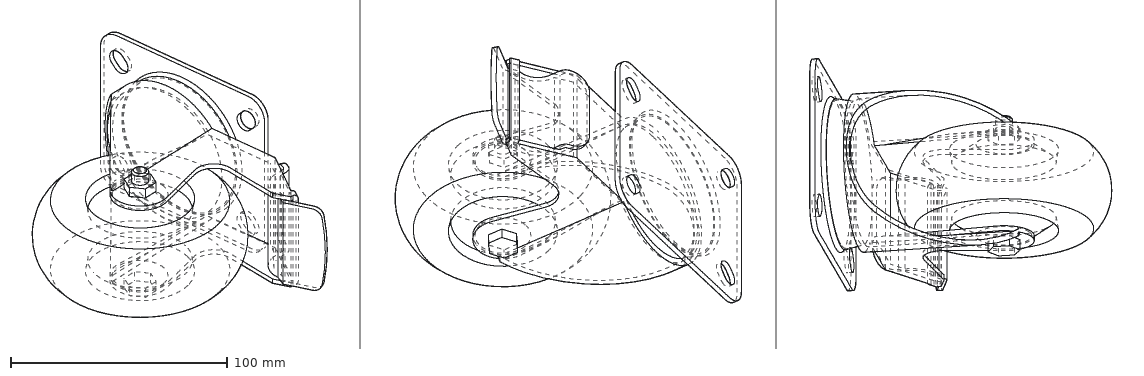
import cadquery as cq
import math


total_length = 161.0
total_height = 125.0

plate_length = 100.0
plate_width = 85.0
plate_thickness = 2.5
plate_corner_radius = 10.0
slot_diameter = 9.0
slot_center_distance = 2.9
slot_x = 38.8
slot_z = 28.5
slot_angle = 45.0

neck_flare_radius = 36.2
neck_waist_radius = 34.3
neck_rim_radius = 35.1
neck_foot_radius = 33.3
neck_rim_y = -4.8
flare_bulge = 0.3

wheel_radius = plate_length / 2
tread_edge_radius = 41.5
tread_half_width = 18.8
rim_radius = 31.9
rim_half_width = 20.0
recess_radius = 50.5 / 2
recess_floor_radius = 48.5 / 2
recess_depth = 6.3
hub_radius = 12.9
axle_x = 36.0
axle_y = wheel_radius - total_height
axle = (axle_x, axle_y)

fork_sheet = 2.4
fork_top_y = -13.4
fork_gap_half = 22.4
leg_face_z = fork_gap_half + fork_sheet
skirt_radius = 73.5 / 2
skirt_bore_radius = skirt_radius - fork_sheet
skirt_end_x = math.sqrt(skirt_radius**2 - leg_face_z**2)
skirt_lip = 1.3
skirt_bend = (-23.7, -25.6)
leg_end_radius = 14.0
leg_front_x = 26.5
leg_shoulder_x = 65.7
leg_tip_x = 93.0
leg_tip_top_y = -32.5
leg_tip_bottom_y = -34.3
leg_slope = math.atan2(fork_top_y - leg_tip_top_y, leg_tip_x - leg_shoulder_x)
leg_chin = (84.5, -37.4)
notch_center = (54.1, -43.5)
notch_radius = 10.0
notch_crest_angle = 135.0

bolt_diameter = 8.0
bolt_end_z = 35.6
bolt_chamfer = 1.0
hex_across_flats = 13.0
hex_height = 5.0

lever_sheet = 2.5
lever_width = 2 * fork_gap_half
limb_start = (63.3, -8.5)
limb_slope = 28.6
limb_corner_radius = 9.7
limb_bend_radius = 3.2
upright_x = 73.9
upright_end_y = -21.7
lever_sweep_radius = 11.6
heel_x = 91.1
heel_y = -37.5
pedal_slope = 19.0
pedal_crown = 2.4
pedal_corner_radius = 5.0

strip_length = 4.2
strip_edge_radius = 2.3


def polar(center, radius, angle):
    """Point at a radius and an angle in radians from a center."""
    return (center[0] + radius * math.cos(angle), center[1] + radius * math.sin(angle))


def bearing(start, end):
    """Distance and direction in radians from one point to another."""
    dx = end[0] - start[0]
    dy = end[1] - start[1]
    return math.hypot(dx, dy), math.atan2(dy, dx)


def tangent_point(point, center, radius, side):
    """Touch point on a circle of a line from a point; side is +1 or -1."""
    distance, angle = bearing(center, point)
    return polar(center, radius, angle + side * math.acos(radius / distance))


def make_plate():
    slot_points = [(sx * slot_x, sz * slot_z) for sx in (-1, 1) for sz in (-1, 1)]
    plate = (
        cq.Workplane("XZ")
        .rect(plate_length, plate_width)
        .extrude(plate_thickness)
        .edges("|Y")
        .fillet(plate_corner_radius)
    )
    for x, z in slot_points:
        angle = math.copysign(slot_angle, x * z)
        slot = (
            cq.Workplane("XZ")
            .center(x, z)
            .slot2D(slot_center_distance + slot_diameter, slot_diameter, angle)
            .extrude(plate_thickness)
        )
        plate = plate.cut(slot)
    return plate


def make_neck():
    flare_middle = (
        (neck_flare_radius + neck_waist_radius) / 2 - flare_bulge,
        -(plate_thickness - neck_rim_y) / 2,
    )
    return (
        cq.Workplane("XY")
        .moveTo(0, -plate_thickness)
        .lineTo(neck_flare_radius, -plate_thickness)
        .threePointArc(flare_middle, (neck_waist_radius, neck_rim_y))
        .lineTo(neck_rim_radius, neck_rim_y)
        .lineTo(neck_foot_radius, fork_top_y)
        .lineTo(0, fork_top_y)
        .close()
        .revolve(360, (0, 0), (0, 1))
    )


def make_wheel():
    floor_half_width = rim_half_width - recess_depth
    side = [
        (hub_radius, fork_gap_half),
        (recess_floor_radius, floor_half_width),
        (recess_radius, rim_half_width),
        (rim_radius, rim_half_width),
        (tread_edge_radius, tread_half_width),
    ]
    profile = cq.Workplane("XZ").moveTo(0, fork_gap_half)
    for radius, z in side:
        profile = profile.lineTo(radius, z)
    profile = profile.threePointArc((wheel_radius, 0), (tread_edge_radius, -tread_half_width))
    for radius, z in reversed(side[:-1]):
        profile = profile.lineTo(radius, -z)
    profile = profile.lineTo(0, -fork_gap_half).close()
    return profile.revolve(360, (0, 0), (0, 1)).translate((axle_x, axle_y, 0))


def make_skirt():
    """Round front of the fork, closed on top and cut away obliquely below."""
    depth = fork_top_y - axle_y + leg_end_radius
    skirt = cq.Workplane("XZ", origin=(0, fork_top_y, 0)).circle(skirt_radius).extrude(depth)
    bore = (
        cq.Workplane("XZ", origin=(0, fork_top_y - fork_sheet, 0))
        .circle(skirt_bore_radius)
        .extrude(depth)
    )
    leg_gap = cq.Workplane("XY").box(
        skirt_radius, depth, 2 * fork_gap_half, centered=(False, False, True)
    ).translate((0, fork_top_y - fork_sheet - depth, 0))
    cut_end = tangent_point(skirt_bend, axle, leg_end_radius, 1)
    side_outline = (
        cq.Workplane("XY")
        .moveTo(skirt_end_x, fork_top_y)
        .lineTo(skirt_end_x, cut_end[1])
        .lineTo(*cut_end)
        .lineTo(*skirt_bend)
        .tangentArcPoint((-skirt_radius, fork_top_y - skirt_lip), relative=False)
        .lineTo(-skirt_radius, fork_top_y)
        .close()
        .extrude(skirt_radius, both=True)
    )
    return skirt.cut(bore).cut(leg_gap).intersect(side_outline)


def make_bridge():
    """Fork top between the legs, bent down along their sloping edges to the lever."""
    web_end_y = fork_top_y - (upright_x - leg_shoulder_x) * math.tan(leg_slope)
    return (
        cq.Workplane("XY")
        .moveTo(0, fork_top_y)
        .lineTo(leg_shoulder_x, fork_top_y)
        .lineTo(upright_x, web_end_y)
        .lineTo(upright_x, web_end_y - fork_sheet / math.cos(leg_slope))
        .lineTo(leg_shoulder_x - fork_sheet * math.tan(leg_slope / 2), fork_top_y - fork_sheet)
        .lineTo(0, fork_top_y - fork_sheet)
        .close()
        .extrude(leg_face_z, both=True)
    )


def make_legs():
    leg_front_top = (leg_front_x, fork_top_y)
    front_touch = tangent_point(leg_front_top, axle, leg_end_radius, 1)
    notch_start = tangent_point(leg_chin, notch_center, notch_radius, 1)
    distance, angle = bearing(axle, notch_center)
    swing = math.acos((leg_end_radius + notch_radius) / distance)
    rear_touch = polar(axle, leg_end_radius, angle - swing)
    notch_end = polar(notch_center, -notch_radius, angle - swing)
    notch_middle = polar(notch_center, notch_radius, math.radians(notch_crest_angle))
    leg = (
        cq.Workplane("XY", origin=(0, 0, fork_gap_half))
        .moveTo(*leg_front_top)
        .lineTo(leg_shoulder_x, fork_top_y)
        .lineTo(leg_tip_x, leg_tip_top_y)
        .lineTo(leg_tip_x, leg_tip_bottom_y)
        .lineTo(*leg_chin)
        .lineTo(*notch_start)
        .threePointArc(notch_middle, notch_end)
        .lineTo(*rear_touch)
        .threePointArc((axle_x, axle_y - leg_end_radius), front_touch)
        .close()
        .extrude(fork_sheet)
    )
    return leg.union(leg.mirror("XY"))


def make_axle_bolt():
    bolt = (
        cq.Workplane("XY", origin=(axle_x, axle_y, 0))
        .circle(bolt_diameter / 2)
        .extrude(bolt_end_z)
        .faces(">Z")
        .chamfer(bolt_chamfer)
    )
    nut = (
        cq.Workplane("XY", origin=(axle_x, axle_y, leg_face_z))
        .transformed(rotate=(0, 0, 90))
        .polygon(6, hex_across_flats / math.cos(math.pi / 6))
        .extrude(hex_height)
    )
    return bolt.union(nut).union(nut.mirror("XY"))


def make_lever():
    """Bent sheet: sloping limb, upright and a quarter sweep."""
    slope = math.radians(limb_slope)
    corner_y = limb_start[1] - (upright_x - limb_start[0]) * math.tan(slope)
    setback = limb_bend_radius * math.tan((math.pi / 2 - slope) / 2)
    bend_start = polar((upright_x, corner_y), -setback, -slope)
    path = (
        cq.Workplane("XY")
        .moveTo(*limb_start)
        .lineTo(*bend_start)
        .tangentArcPoint((upright_x, corner_y - setback), relative=False)
        .lineTo(upright_x, upright_end_y)
        .tangentArcPoint((lever_sweep_radius, -lever_sweep_radius))
    )
    section_plane = cq.Plane(
        origin=(*limb_start, 0),
        xDir=(0, 0, 1),
        normal=(math.cos(slope), -math.sin(slope), 0),
    )
    lever = cq.Workplane(section_plane).rect(lever_width, lever_sheet).sweep(path)
    return lever.faces("<X").edges("not |Z").fillet(limb_corner_radius)


def make_heel():
    """Wedge that joins the lever sweep to the pedal."""
    sweep_end_x = upright_x + lever_sweep_radius
    sweep_end_y = upright_end_y - lever_sweep_radius
    return (
        cq.Workplane("XY")
        .moveTo(sweep_end_x, sweep_end_y + lever_sheet / 2)
        .lineTo(sweep_end_x, sweep_end_y - lever_sheet / 2)
        .lineTo(heel_x, heel_y)
        .lineTo(*polar((heel_x, heel_y), lever_sheet, math.radians(pedal_slope + 90)))
        .close()
        .extrude(fork_gap_half, both=True)
    )


def make_pedal():
    slope = math.radians(pedal_slope)
    length = (total_length - plate_length / 2 - heel_x) / math.cos(slope)
    side_length = length - pedal_crown
    pedal_plane = cq.Plane(
        origin=(heel_x, heel_y, 0),
        xDir=(math.cos(slope), math.sin(slope), 0),
        normal=(-math.sin(slope), math.cos(slope), 0),
    )
    outline = (
        cq.Workplane(pedal_plane)
        .moveTo(0, -fork_gap_half)
        .lineTo(side_length, -fork_gap_half)
        .threePointArc((length, 0), (side_length, fork_gap_half))
        .lineTo(0, fork_gap_half)
        .close()
    )
    far_corners = cq.selectors.BoxSelector(
        (heel_x + side_length / 2, heel_y, -plate_width), (total_length, 0, plate_width)
    )
    across_sheet = cq.selectors.ParallelDirSelector(pedal_plane.zDir)
    pedal = outline.extrude(lever_sheet)
    return pedal.edges(across_sheet).edges(far_corners).fillet(pedal_corner_radius)


def make_tip_strip():
    """Sheet strip with rounded ends lying across the sloping edges of the leg tips."""
    strip_plane = cq.Plane(
        origin=(leg_tip_x, leg_tip_top_y, 0),
        xDir=(-math.cos(leg_slope), math.sin(leg_slope), 0),
        normal=(math.sin(leg_slope), math.cos(leg_slope), 0),
    )
    strip = cq.Workplane(strip_plane).box(
        strip_length, 2 * leg_face_z, fork_sheet, centered=(False, True, False)
    )
    outer_face = cq.selectors.DirectionMinMaxSelector(strip_plane.zDir)
    return strip.faces(outer_face).edges("not |Z").fillet(strip_edge_radius)


result = make_plate()
for component in (
    make_neck(),
    make_skirt(),
    make_bridge(),
    make_legs(),
    make_wheel(),
    make_axle_bolt(),
    make_lever(),
    make_heel(),
    make_pedal(),
    make_tip_strip(),
):
    result = result.union(component)